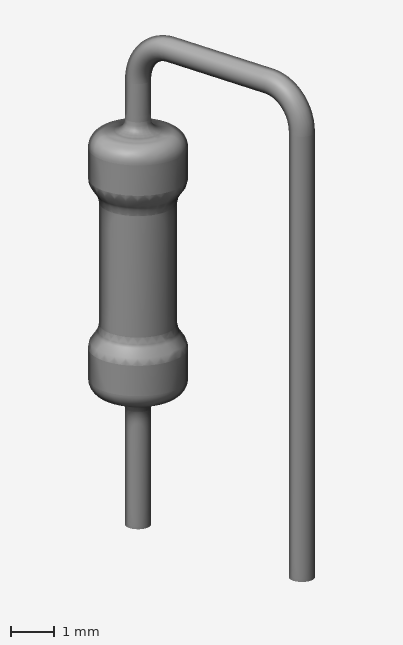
import cadquery as cq

wire_radius = 0.3
pin_pitch = 5.0
bend_radius = 1.0
overall_height = 12.3
top_run_z = overall_height - wire_radius
bend_start_z = top_run_z - bend_radius

body_centre_z = 6.475
waist_radius = 0.9
cap_radius = 1.15
cap_round = 0.4
waist_half_length = 1.5
flare_length = 0.6
cap_band_length = 0.75
neck_length = 0.33
collar_length = 0.15

flare_end = waist_half_length + flare_length
band_end = flare_end + cap_band_length
cap_end = band_end + cap_round
neck_end = cap_end + neck_length
collar_end = neck_end + collar_length
cap_face_radius = cap_radius - cap_round

OUTWARD_ALONG_AXIS = (0, 1)
TOWARDS_AXIS = (-1, 0)


def make_body_end():
    """Revolve one end of the resistor, from the waist to the end of the collar."""
    profile = (
        cq.Workplane("XZ")
        .moveTo(0, waist_half_length)
        .lineTo(waist_radius, waist_half_length)
        .spline(
            [(cap_radius, flare_end)],
            tangents=[OUTWARD_ALONG_AXIS, OUTWARD_ALONG_AXIS],
            includeCurrent=True,
        )
        .lineTo(cap_radius, band_end)
        .tangentArcPoint((cap_face_radius, cap_end), relative=False)
        .spline(
            [(wire_radius, neck_end)],
            tangents=[TOWARDS_AXIS, OUTWARD_ALONG_AXIS],
            includeCurrent=True,
        )
        .lineTo(wire_radius, collar_end)
        .lineTo(0, collar_end)
        .close()
    )
    return profile.revolve(360, (0, 0, 0), (0, 1, 0))


def make_body():
    """Join the waist to two mirrored ends and lift the body to its place on the lead."""
    waist = cq.Workplane("XY").cylinder(2 * waist_half_length, waist_radius)
    upper_end = make_body_end()
    lower_end = upper_end.mirror("XY")
    return waist.union(upper_end).union(lower_end).translate((0, 0, body_centre_z))


def make_bottom_lead():
    """Straight lead below the body."""
    length = body_centre_z - collar_end
    return cq.Workplane("XY").circle(wire_radius).extrude(length)


def make_bent_lead():
    """Lead leaving the top of the body, turned over and down to the second pin."""
    path = (
        cq.Workplane("XZ")
        .moveTo(0, body_centre_z + collar_end)
        .lineTo(0, bend_start_z)
        .tangentArcPoint((bend_radius, top_run_z), relative=False)
        .lineTo(pin_pitch - bend_radius, top_run_z)
        .tangentArcPoint((pin_pitch, bend_start_z), relative=False)
        .lineTo(pin_pitch, 0)
    )
    section = cq.Workplane("XY", origin=(0, 0, body_centre_z + collar_end)).circle(wire_radius)
    return section.sweep(path)


result = make_body().union(make_bottom_lead(), clean=False).union(make_bent_lead(), clean=False)